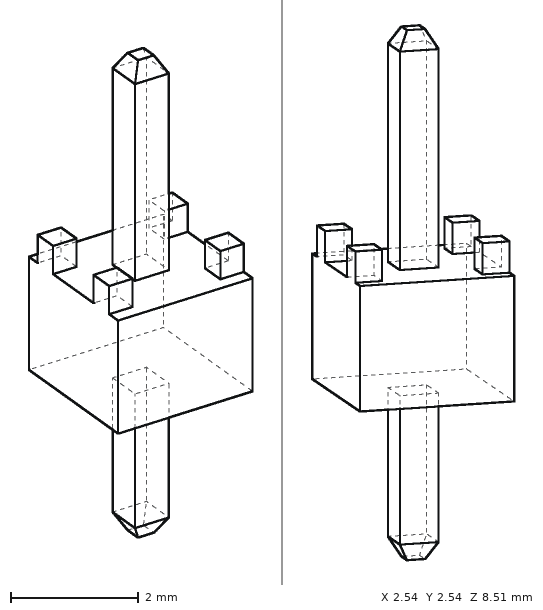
import cadquery as cq

total_length = 8.51
body_side = 2.54
body_height = 2.02
pin_side = 0.64
pin_below_body = 2.69
tip_side = 0.3
tip_length = 0.3
standoff_side = 0.44
standoff_height = 0.5
standoff_spacing_x = 1.59

pin_bottom = -pin_below_body
pin_top = pin_bottom + total_length
standoff_spacing_y = body_side - standoff_side


def make_body():
    """Square insulator block."""
    return cq.Workplane("XY").box(body_side, body_side, body_height, centered=(True, True, False))


def make_standoffs():
    """Four square standoffs on top of the body."""
    return (
        cq.Workplane("XY")
        .workplane(offset=body_height)
        .rarray(standoff_spacing_x, standoff_spacing_y, 2, 2)
        .rect(standoff_side, standoff_side)
        .extrude(standoff_height)
    )


def make_pin():
    """Square pin through the body with a blunt pyramid at each end."""
    shaft_length = total_length - 2 * tip_length
    pin = (
        cq.Workplane("XY")
        .workplane(offset=pin_bottom + tip_length)
        .rect(pin_side, pin_side)
        .extrude(shaft_length)
    )
    for end, direction in ((pin_bottom, 1), (pin_top, -1)):
        tip = (
            cq.Workplane("XY")
            .workplane(offset=end)
            .rect(tip_side, tip_side)
            .workplane(offset=direction * tip_length)
            .rect(pin_side, pin_side)
            .loft(ruled=True)
        )
        pin = pin.union(tip)
    return pin


result = make_body().union(make_standoffs()).union(make_pin())